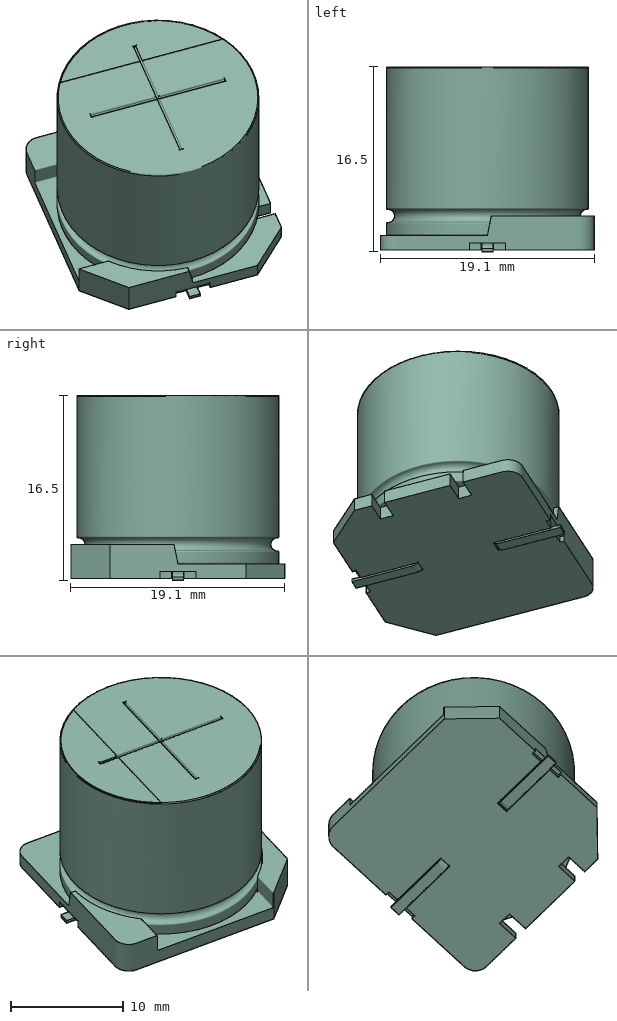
import cadquery as cq

overall_length = 20.1
overall_height = 16.5

base_size = 19.1
base_half = base_size / 2
base_height = 3.05
deck_height = 1.33
corner_radius = 1.4
corner_chamfer = 3.48
seat_radius = 9.09
step_top_y = -0.35
step_foot_y = 0.0
window_width = 11.98
edge_round = 0.1
slot_inner_x = 3.15
slot_width = 1.25
slot_depth = 2.0

lead_width = 1.0
lead_thickness = 0.3
lead_drop = 0.15
lead_bend_radius = 0.25
lead_stem_x = 3.64
lead_outer_x = overall_length / 2
channel_width = 1.13
channel_height = 0.62
pocket_width = 3.22
pocket_depth = 0.38

can_radius = 9.0
can_top = overall_height - lead_drop
can_edge_round = 0.1
groove_height = 3.05
groove_radius = 0.58
lip_radius = 0.12

mark_edge_x = -can_radius / 2
mark_thickness = 0.1
vent_length = 12.66
vent_width = 0.2
vent_depth = 0.2
vent_lip_radius = 0.12
vent_foot_radius = 0.06


def make_box(x_range, y_range, z_range):
    """Axis-aligned box between the given limits."""
    (x0, x1), (y0, y1), (z0, z1) = x_range, y_range, z_range
    box = cq.Workplane("XY").box(x1 - x0, y1 - y0, z1 - z0, centered=False)
    return box.translate((x0, y0, z0))


def make_trench(width, floor, top, lip_round, foot_round, length):
    """Trench-shaped cutter along X, centred on the Z axis, with rounded lips and feet."""
    half_width = width / 2
    half_mouth = half_width + lip_round
    half_floor = half_width - foot_round
    return (
        cq.Workplane("YZ", origin=(-length / 2, 0, 0))
        .moveTo(-half_mouth, top)
        .radiusArc((-half_width, top - lip_round), lip_round)
        .lineTo(-half_width, floor + foot_round)
        .radiusArc((-half_floor, floor), -foot_round)
        .lineTo(half_floor, floor)
        .radiusArc((half_width, floor + foot_round), -foot_round)
        .lineTo(half_width, top - lip_round)
        .radiusArc((half_mouth, top), lip_round)
        .close()
        .extrude(length)
    )



def make_base_block():
    """Square block with rounded -X corners and chamfered +X corners."""
    return (
        cq.Workplane("XY")
        .rect(base_size, base_size)
        .extrude(base_height)
        .edges("|Z and <X")
        .fillet(corner_radius)
        .edges("|Z and >X")
        .chamfer(corner_chamfer)
    )


def lower_rear_half(base):
    """Cut the rear half down to the deck, leaving a sloping, rounded step."""
    rear = (
        cq.Workplane("YZ", origin=(-base_half, 0, 0))
        .moveTo(step_foot_y, deck_height)
        .lineTo(step_top_y, base_height)
        .lineTo(base_half, base_height)
        .lineTo(base_half, deck_height)
        .close()
        .extrude(base_size)
    )
    step_edges = cq.selectors.NearestToPointSelector((0, step_top_y, base_height))
    step_edges = step_edges + cq.selectors.NearestToPointSelector((0, step_foot_y, deck_height))
    return base.cut(rear).edges(step_edges).fillet(edge_round)


def cut_front_window(base):
    """Open the front wall down to the deck, from the front edge to the middle."""
    trench = make_trench(
        window_width, deck_height, base_height, edge_round, edge_round, base_half
    )
    window = trench.rotate((0, 0, 0), (0, 0, 1), 90).translate((0, -base_half / 2, 0))
    return base.cut(window)


def cut_can_seat(base):
    seat = (
        cq.Workplane("XY", origin=(0, 0, deck_height))
        .circle(seat_radius)
        .extrude(base_height - deck_height)
    )
    return base.cut(seat)


def cut_rear_slots(base):
    slot = make_box(
        (slot_inner_x, slot_inner_x + slot_width),
        (base_half - slot_depth, base_half),
        (0, deck_height),
    )
    return base.cut(slot).cut(slot.mirror("YZ"))


def cut_lead_channels(base):
    """Mouth pocket, channel and stem hole for each lead."""
    pocket = make_box(
        (-base_half, -base_half + pocket_depth),
        (-pocket_width / 2, pocket_width / 2),
        (0, channel_height),
    )
    channel = make_box(
        (-base_half, -lead_stem_x),
        (-channel_width / 2, channel_width / 2),
        (0, channel_height),
    )
    stem_hole = make_box(
        (-lead_stem_x - lead_thickness, -lead_stem_x),
        (-lead_width / 2, lead_width / 2),
        (0, deck_height),
    )
    for cutter in (pocket, channel, stem_hole):
        base = base.cut(cutter).cut(cutter.mirror("YZ"))
    return base


def make_base():
    base = make_base_block()
    base = lower_rear_half(base)
    base = cut_front_window(base)
    base = cut_can_seat(base)
    base = cut_rear_slots(base)
    return cut_lead_channels(base)



def make_lead(angle):
    """Lead of flat pad and upright stem joined by a bend; angle turns it about the Z axis."""
    outer_bend_radius = lead_bend_radius + lead_thickness
    pad_top = lead_thickness - lead_drop
    stem_outer_x = lead_stem_x + lead_thickness
    bend_x = lead_stem_x + outer_bend_radius
    bend_z = pad_top + lead_bend_radius
    return (
        cq.Workplane("XZ", origin=(0, lead_width / 2, 0))
        .moveTo(lead_outer_x, -lead_drop)
        .lineTo(bend_x, -lead_drop)
        .radiusArc((lead_stem_x, bend_z), outer_bend_radius)
        .lineTo(lead_stem_x, deck_height)
        .lineTo(stem_outer_x, deck_height)
        .lineTo(stem_outer_x, bend_z)
        .radiusArc((bend_x, pad_top), -lead_bend_radius)
        .lineTo(lead_outer_x, pad_top)
        .close()
        .extrude(lead_width)
        .rotate((0, 0, 0), (0, 0, 1), angle)
    )



def make_vent_cross():
    """Two crossed grooves sunk into the can top."""
    groove = make_trench(
        vent_width, can_top - vent_depth, can_top, vent_lip_radius, vent_foot_radius, vent_length
    )
    return groove.union(groove.rotate((0, 0, 0), (0, 0, 1), 90))


def make_mark_blank():
    """Flat segment of the can top, before the vent is cut."""
    disc = (
        cq.Workplane("XY", origin=(0, 0, can_top - mark_thickness))
        .circle(can_radius - can_edge_round)
        .extrude(mark_thickness)
    )
    marked_side = make_box((-can_radius, mark_edge_x), (-can_radius, can_radius), (0, can_top))
    return disc.intersect(marked_side)


def make_can_blank():
    """Revolved can with rounded rims and a crimp groove between rounded lips."""
    rim_x = can_radius - can_edge_round
    lip_x = can_radius - lip_radius
    groove_top = groove_height + groove_radius
    groove_bottom = groove_height - groove_radius
    return (
        cq.Workplane("XZ")
        .moveTo(0, deck_height)
        .lineTo(rim_x, deck_height)
        .radiusArc((can_radius, deck_height + can_edge_round), -can_edge_round)
        .lineTo(can_radius, groove_bottom - lip_radius)
        .radiusArc((lip_x, groove_bottom), -lip_radius)
        .threePointArc((lip_x - groove_radius, groove_height), (lip_x, groove_top))
        .radiusArc((can_radius, groove_top + lip_radius), -lip_radius)
        .lineTo(can_radius, can_top - can_edge_round)
        .radiusArc((rim_x, can_top), -can_edge_round)
        .lineTo(0, can_top)
        .close()
        .revolve(360, (0, 0, 0), (0, 1, 0))
    )



vent_cross = make_vent_cross()
mark_blank = make_mark_blank()

base = make_base()
can = make_can_blank().cut(mark_blank).cut(vent_cross)
mark = mark_blank.cut(vent_cross)
leads = [make_lead(angle) for angle in (0, 180)]

result = cq.Compound.makeCompound(
    [base.val(), can.val(), mark.val()] + [lead.val() for lead in leads]
)